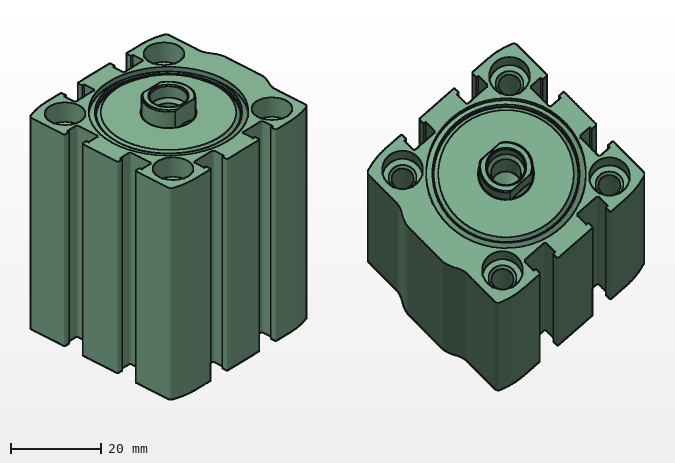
import cadquery as cq
import math

total_height = 60.5
body_height = 56.4

body_width = 45.0
half_width = body_width / 2
hump_top_y = 24.5
hump_top_half_width = 5.8
hump_crest_x = 7.15
hump_crest_y = 24.15
hump_flank_x = 8.5
hump_flank_y = 23.55
hump_toe_x = 9.75
hump_toe_y = 22.85
hump_base_half_width = 11.0
side_flat_half_length = 15.55
side_curve_radius = 18.15
corner_fillet = 1.0

slot_offset = 8.0
slot_mouth_width = 5.25
slot_inner_width = 6.5
slot_lip_thickness = 1.5
slot_depth = 4.7
slot_mouth_fillet = 0.25
slot_inner_fillet = 0.4

mount_offset = 16.2
mount_hole_diameter = 4.9
mount_chamfer_diameter = 6.2
mount_counterbore_diameter = 9.0
mount_counterbore_depth = 5.2

groove_outer_diameter = 35.4
ridge_outer_diameter = 32.7
ridge_inner_diameter = 32.0
end_face_bevel_diameter = 30.5
end_face_diameter = 30.0
end_face_drop = 0.3
groove_depth = 1.35
inner_groove_depth = 1.2
end_face_bevel = 0.25

rod_diameter = 12.0
rod_bottom_z = 36.3
rod_top_chamfer = 0.3
rod_flat_width = 10.0
rod_flat_sink = 0.5
rod_hole_chamfer = 0.25
rod_bore_diameter = 8.4
rod_bore_mouth_diameter = 9.0
rod_bore_cone_depth = 3.3
rod_thread_diameter = 6.65
rod_thread_depth = 12.1
drill_half_angle = math.radians(59)

end_face_z = body_height - end_face_drop
rod_radius = rod_diameter / 2

side_curve_height = half_width - side_flat_half_length
side_curve_inset = side_curve_radius - math.sqrt(side_curve_radius**2 - side_curve_height**2)
corner_x = half_width - side_curve_inset


def housing_outline():
    """Closed outline of the housing in plan, without the slots and the corner fillets."""
    hump_top_right = (hump_top_half_width, hump_top_y)
    hump_top_left = (-hump_top_half_width, hump_top_y)
    crest_right = (hump_crest_x, hump_crest_y)
    crest_left = (-hump_crest_x, hump_crest_y)
    flank_right = (hump_flank_x, hump_flank_y)
    flank_left = (-hump_flank_x, hump_flank_y)
    hump_base_right = (hump_base_half_width, half_width)
    hump_base_left = (-hump_base_half_width, half_width)
    toe_right = (hump_toe_x, hump_toe_y)
    toe_left = (-hump_toe_x, hump_toe_y)
    return (
        cq.Workplane("XY")
        .moveTo(-corner_x, -half_width)
        .lineTo(corner_x, -half_width)
        .radiusArc((half_width, -side_flat_half_length), -side_curve_radius)
        .lineTo(half_width, side_flat_half_length)
        .radiusArc((corner_x, half_width), -side_curve_radius)
        .lineTo(*hump_base_right)
        .threePointArc(toe_right, flank_right)
        .threePointArc(crest_right, hump_top_right)
        .lineTo(*hump_top_left)
        .threePointArc(crest_left, flank_left)
        .threePointArc(toe_left, hump_base_left)
        .lineTo(-corner_x, half_width)
        .radiusArc((-half_width, side_flat_half_length), -side_curve_radius)
        .lineTo(-half_width, -side_flat_half_length)
        .radiusArc((-corner_x, -half_width), -side_curve_radius)
        .close()
    )


def vertical_edges_at(solid, points):
    """Vertical edges of the housing that pass through the given XY points."""
    edges = solid.edges("|Z")
    tolerance = 0.005
    return edges.filter(
        lambda edge: any(
            math.hypot(edge.Center().x - x, edge.Center().y - y) < tolerance for x, y in points
        )
    )


def t_slot(offset, turn):
    """T-slot cutter, drawn for the front face and turned about Z to its own face."""
    mouth_half = slot_mouth_width / 2
    outer_y = -half_width
    lip_y = outer_y + slot_lip_thickness
    floor_y = outer_y + slot_depth
    inner = (
        cq.Workplane("XY")
        .center(offset, (lip_y + floor_y) / 2)
        .rect(slot_inner_width, floor_y - lip_y)
        .extrude(body_height)
        .edges("|Z and >Y")
        .fillet(slot_inner_fillet)
    )
    flare_half = mouth_half + slot_mouth_fillet
    round_end_y = outer_y + slot_mouth_fillet
    mouth = (
        cq.Workplane("XY")
        .moveTo(offset - flare_half, outer_y)
        .radiusArc((offset - mouth_half, round_end_y), -slot_mouth_fillet)
        .lineTo(offset - mouth_half, lip_y)
        .lineTo(offset + mouth_half, lip_y)
        .lineTo(offset + mouth_half, round_end_y)
        .radiusArc((offset + flare_half, outer_y), -slot_mouth_fillet)
        .close()
        .extrude(body_height)
    )
    return inner.union(mouth).rotate((0, 0, 0), (0, 0, 1), turn)


def mounting_holes():
    """Cutters for the four counterbored through holes."""
    chamfer = (mount_chamfer_diameter - mount_hole_diameter) / 2
    seat_z = body_height - mount_counterbore_depth
    profile = (
        cq.Workplane("XZ")
        .moveTo(0, 0)
        .lineTo(mount_hole_diameter / 2, 0)
        .lineTo(mount_hole_diameter / 2, seat_z - chamfer)
        .lineTo(mount_chamfer_diameter / 2, seat_z)
        .lineTo(mount_counterbore_diameter / 2, seat_z)
        .lineTo(mount_counterbore_diameter / 2, body_height)
        .lineTo(0, body_height)
        .close()
    )
    cutter = profile.revolve(360, (0, 0, 0), (0, 1, 0)).val()
    corners = [(x, y) for x in (-mount_offset, mount_offset) for y in (-mount_offset, mount_offset)]
    return [cutter.moved(cq.Location(cq.Vector(x, y, 0))) for x, y in corners]


def end_face_recess():
    """Cutter that leaves the sloped ridge and the bevelled end disc below the top face."""
    ridge_chamfer = (ridge_outer_diameter - ridge_inner_diameter) / 2
    return (
        cq.Workplane("XZ")
        .moveTo(0, body_height)
        .lineTo(groove_outer_diameter / 2, body_height)
        .lineTo(groove_outer_diameter / 2, body_height - groove_depth)
        .lineTo(ridge_outer_diameter / 2, end_face_z)
        .lineTo(ridge_inner_diameter / 2, end_face_z - ridge_chamfer)
        .lineTo(ridge_inner_diameter / 2, body_height - inner_groove_depth)
        .lineTo(end_face_bevel_diameter / 2, end_face_z - end_face_bevel)
        .lineTo(end_face_diameter / 2, end_face_z)
        .lineTo(0, end_face_z)
        .close()
        .revolve(360, (0, 0, 0), (0, 1, 0))
    )


def rod_hole():
    """Blind hole for the rod, with a chamfered mouth in the end face."""
    return (
        cq.Workplane("XZ")
        .moveTo(0, rod_bottom_z)
        .lineTo(rod_radius, rod_bottom_z)
        .lineTo(rod_radius, end_face_z - rod_hole_chamfer)
        .lineTo(rod_radius + rod_hole_chamfer, end_face_z)
        .lineTo(0, end_face_z)
        .close()
        .revolve(360, (0, 0, 0), (0, 1, 0))
    )


def make_housing():
    housing = housing_outline().extrude(body_height)
    corners = [(x, y) for x in (-corner_x, corner_x) for y in (-half_width, half_width)]
    housing = vertical_edges_at(housing, corners).fillet(corner_fillet)
    for turn in (-90, 0, 90):
        for offset in (-slot_offset, slot_offset):
            housing = housing.cut(t_slot(offset, turn))
    for cutter in mounting_holes():
        housing = housing.cut(cq.Workplane(cutter))
    return housing.cut(end_face_recess()).cut(rod_hole())


def rod_bore():
    """Stepped, drilled hole down from the top of the rod."""
    bore_radius = rod_bore_diameter / 2
    mouth_radius = rod_bore_mouth_diameter / 2
    thread_radius = rod_thread_diameter / 2
    cone_top_z = total_height - rod_bore_cone_depth
    cone_bottom_z = cone_top_z - (bore_radius - thread_radius)
    thread_end_z = total_height - rod_thread_depth
    return (
        cq.Workplane("XZ")
        .moveTo(0, total_height)
        .lineTo(mouth_radius, total_height)
        .lineTo(bore_radius, total_height - (mouth_radius - bore_radius))
        .lineTo(bore_radius, cone_top_z)
        .lineTo(thread_radius, cone_bottom_z)
        .lineTo(thread_radius, thread_end_z)
        .lineTo(0, thread_end_z - thread_radius / math.tan(drill_half_angle))
        .close()
        .revolve(360, (0, 0, 0), (0, 1, 0))
    )


def rod_flats():
    """Ring-like cutter for the two flats, which run out on a cone just below the end face."""
    half_flat = rod_flat_width / 2
    cone_top_z = end_face_z - rod_flat_sink
    cone_bottom_z = cone_top_z - (rod_radius - half_flat)
    ring = (
        cq.Workplane("XZ")
        .moveTo(half_flat, cone_top_z)
        .lineTo(rod_radius, cone_bottom_z)
        .lineTo(rod_radius, total_height)
        .lineTo(half_flat, total_height)
        .close()
        .revolve(360, (0, 0, 0), (0, 1, 0))
    )
    keep = cq.Workplane("XY").rect(rod_flat_width, rod_diameter).extrude(total_height)
    return ring.cut(keep)


def make_piston_rod():
    rod = (
        cq.Workplane("XY", origin=(0, 0, rod_bottom_z))
        .circle(rod_radius)
        .extrude(total_height - rod_bottom_z)
        .faces(">Z")
        .chamfer(rod_top_chamfer)
    )
    return rod.cut(rod_flats()).cut(rod_bore())


housing = make_housing()
piston_rod = make_piston_rod()

result = cq.Compound.makeCompound([housing.val(), piston_rod.val()])